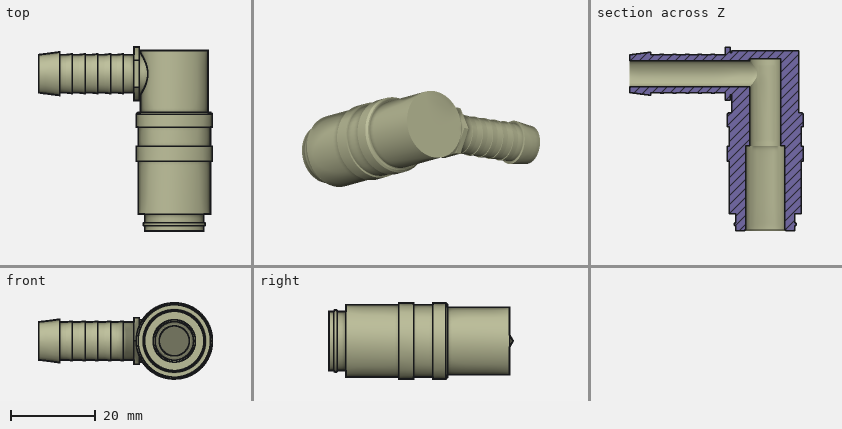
import cadquery as cq
import math


body_back = 5.5
rear_collar_start = -9.1
rear_collar_end = -12.6
front_collar_start = -17.1
front_collar_end = -20.65
nose_length = 4.0
body_front = -37.1
shoulder = body_front + nose_length

rear_radius = 8.0
sleeve_radius = 8.55
collar_radius = 9.0
nose_radius = 7.0
collar_chamfer = 0.45

ring_section_radius = 0.4
ring_centre_radius = 6.95
ring_station = body_front + 1.6

socket_radius = 4.55
socket_chamfer = 0.45
socket_depth = 20.0
passage_radius = 3.55
passage_end = 3.5

barb_tip = -32.0
tip_cone_length = 5.0
ridge_count = 5
ridge_length = 1.5
ridge_pitch = 3.0
first_ridge = barb_tip + tip_cone_length + ridge_length
hex_start = -9.5
hex_thickness = 1.25

tube_radius = 4.5
tip_cone_radius = 5.15
ridge_radius = 4.7
neck_radius = 5.0
barb_bore_radius = 3.0
hex_across_flats = 11.0
hex_across_corners = hex_across_flats / math.cos(math.pi / 6)


def body_outside():
    """Stepped round body with two collars, revolved about Y."""
    profile = (
        cq.Workplane("XY")
        .moveTo(0, body_back)
        .lineTo(rear_radius, body_back)
        .lineTo(rear_radius, rear_collar_start)
        .lineTo(collar_radius - collar_chamfer, rear_collar_start)
        .lineTo(collar_radius, rear_collar_start - collar_chamfer)
        .lineTo(collar_radius, rear_collar_end)
        .lineTo(sleeve_radius, rear_collar_end)
        .lineTo(sleeve_radius, front_collar_start)
        .lineTo(collar_radius, front_collar_start)
        .lineTo(collar_radius, front_collar_end)
        .lineTo(sleeve_radius, front_collar_end)
        .lineTo(sleeve_radius, shoulder)
        .lineTo(nose_radius, shoulder)
        .lineTo(nose_radius, body_front)
        .lineTo(0, body_front)
        .close()
    )
    return profile.revolve(360, (0, 0, 0), (0, 1, 0))


def sealing_ring():
    """Round-section ring seated in the nose."""
    section = cq.Workplane("XY").center(ring_centre_radius, ring_station).circle(ring_section_radius)
    return section.revolve(360, (-ring_centre_radius, 0, 0), (-ring_centre_radius, 1, 0))


def body_bore():
    """Chamfered socket stepping down to a blind passage behind the barb axis."""
    socket_floor = body_front + socket_depth
    profile = (
        cq.Workplane("XY")
        .moveTo(0, body_front)
        .lineTo(socket_radius + socket_chamfer, body_front)
        .lineTo(socket_radius, body_front + socket_chamfer)
        .lineTo(socket_radius, socket_floor)
        .lineTo(passage_radius, socket_floor)
        .lineTo(passage_radius, passage_end)
        .lineTo(0, passage_end)
        .close()
    )
    return profile.revolve(360, (0, 0, 0), (0, 1, 0))


def barb_outside():
    """Hose barb with a tapered tip and small saw-tooth ridges, revolved about X."""
    tip_cone_end = barb_tip + tip_cone_length
    profile = (
        cq.Workplane("XY")
        .moveTo(barb_tip, 0)
        .lineTo(barb_tip, tube_radius)
        .lineTo(tip_cone_end, tip_cone_radius)
        .lineTo(tip_cone_end, tube_radius)
    )
    for index in range(ridge_count):
        ridge_start = first_ridge + index * ridge_pitch
        ridge_end = ridge_start + ridge_length
        profile = (
            profile.lineTo(ridge_start, tube_radius)
            .lineTo(ridge_end, ridge_radius)
            .lineTo(ridge_end, tube_radius)
        )
    profile = (
        profile.lineTo(hex_start, tube_radius)
        .lineTo(hex_start, neck_radius)
        .lineTo(0, neck_radius)
        .lineTo(0, 0)
        .close()
    )
    return profile.revolve(360, (0, 0, 0), (1, 0, 0))


def hex_flange():
    """Thin hexagon at the root of the barb, with corners pointing along Y."""
    return (
        cq.Workplane("YZ", origin=(hex_start, 0, 0))
        .polygon(6, hex_across_corners)
        .extrude(hex_thickness)
    )


def barb_bore():
    """Round passage from the barb tip to the body passage."""
    return cq.Workplane("YZ", origin=(barb_tip, 0, 0)).circle(barb_bore_radius).extrude(-barb_tip)


outside = body_outside().union(sealing_ring()).union(barb_outside()).union(hex_flange())
result = outside.cut(body_bore()).cut(barb_bore())